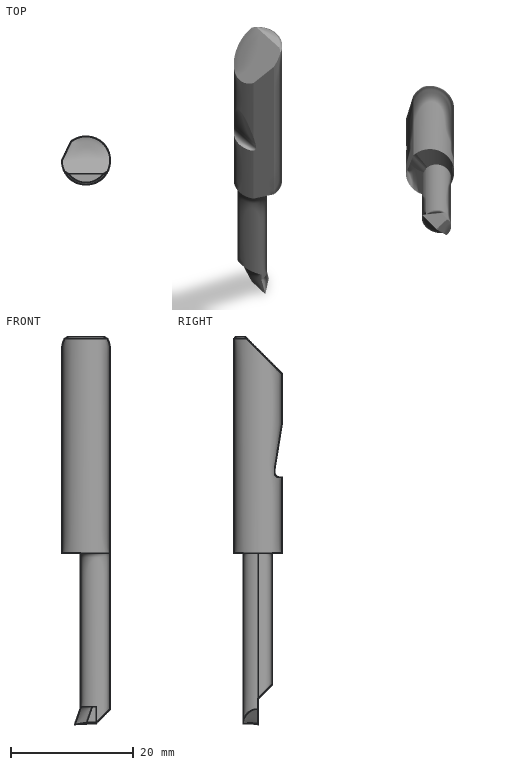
import cadquery as cq
import math

length = 63.5
shank_diameter = 7.95
shank_radius = shank_diameter / 2
shank_bottom = 28.05
neck_diameter = 4.9
neck_radius = neck_diameter / 2
neck_back_radius = 2.35
neck_x = shank_radius - neck_radius
margin = 3.2

bevel_edge_y = -2.15
top_chamfer = 0.4
flat_end_y = 3.1
notch_top = 49.4
notch_bottom = 40.5
notch_depth = 1.2
notch_ramp_bottom = 41.9
notch_corner_radius = 0.65

rake_bevel_top = 6.55
neck_corner_height = 2.55

tooth_height = 2.9
tooth_point_x = -1.85
tooth_heel_x = 0.0
tooth_side_x = 1.65
tooth_lean = 1.0
end_relief = 0.25
edge_relief = 0.16


def extrude_along_x(points):
    """Prism through the whole part from a (Y, Z) outline."""
    half_width = shank_radius + margin
    return cq.Workplane("YZ").polyline(points).close().extrude(half_width, both=True)


def make_shank():
    shank = (
        cq.Workplane("XY")
        .workplane(offset=shank_bottom)
        .circle(shank_radius)
        .extrude(length - shank_bottom)
        .faces(">Z")
        .chamfer(top_chamfer)
    )
    return shank.cut(top_bevel()).cut(side_flat()).cut(clamping_notch())


def top_bevel():
    reach = shank_radius + margin - bevel_edge_y
    return extrude_along_x([
        (bevel_edge_y - margin, length + margin),
        (bevel_edge_y + reach, length + margin),
        (bevel_edge_y + reach, length - reach),
    ])


def side_flat():
    """Prism outside the chord that forms the flat along the shank."""
    flat_end_x = -math.sqrt(shank_radius**2 - flat_end_y**2)
    outline = [
        (-shank_radius, 0),
        (flat_end_x, flat_end_y),
        (flat_end_x, flat_end_y + margin),
        (-shank_radius - margin, flat_end_y + margin),
        (-shank_radius - margin, 0),
    ]
    return (
        cq.Workplane("XY")
        .workplane(offset=shank_bottom)
        .polyline(outline)
        .close()
        .extrude(length - shank_bottom)
    )


def clamping_notch():
    """Ramped notch across the +Y side with a rounded lower corner."""
    floor_y = shank_radius - notch_depth
    return (
        cq.Workplane("YZ")
        .moveTo(shank_radius, notch_top)
        .lineTo(floor_y, notch_ramp_bottom)
        .lineTo(floor_y, notch_bottom + notch_corner_radius)
        .radiusArc((floor_y + notch_corner_radius, notch_bottom), -notch_corner_radius)
        .lineTo(shank_radius + margin, notch_bottom)
        .lineTo(shank_radius + margin, notch_top)
        .close()
        .extrude(shank_radius + margin, both=True)
    )


def make_neck():
    neck = half_neck(neck_radius, -1).union(half_neck(neck_back_radius, 1))
    return neck.cut(rake_face()).cut(tooth_clearance()).cut(neck_corner())


def half_neck(radius, y_side):
    """Half cylinder on the +Y side (y_side = 1) or the -Y side (y_side = -1)."""
    return (
        cq.Workplane("XY")
        .moveTo(neck_x - radius, 0)
        .threePointArc((neck_x, y_side * radius), (neck_x + radius, 0))
        .close()
        .extrude(shank_bottom)
    )


def rake_face():
    """Removes the +Y half at the tip, running out along a 45 degree bevel."""
    reach = neck_back_radius + margin
    return extrude_along_x([
        (0, -margin),
        (reach, -margin),
        (reach, rake_bevel_top + margin),
        (0, rake_bevel_top - neck_back_radius),
    ])


def tooth_clearance():
    """Clears the neck on the tooth side, up to the ledge above the tooth."""
    size = 2 * neck_radius + margin
    return cq.Workplane("XY").box(size, size, tooth_height, centered=False).translate(
        (neck_x - size, -size / 2, 0)
    )


def neck_corner():
    """45 degree cut across the +X side of the tip."""
    return (
        cq.Workplane("XZ")
        .moveTo(shank_radius + margin, neck_corner_height + margin)
        .lineTo(shank_radius + margin, -margin)
        .lineTo(shank_radius - neck_corner_height - margin, -margin)
        .close()
        .extrude(shank_radius, both=True)
    )


def make_tooth():
    def outline(lean):
        return [
            (tooth_point_x + lean, 0),
            (tooth_heel_x + lean, -neck_radius),
            (tooth_side_x, -neck_radius),
            (tooth_side_x, 0),
        ]

    tooth = (
        cq.Workplane("XY")
        .polyline(outline(0))
        .close()
        .workplane(offset=tooth_height)
        .polyline(outline(tooth_lean))
        .close()
        .loft(ruled=True)
    )
    return tooth.cut(end_face_relief())


def end_face_relief():
    """Body below the end face, which rises away from the point in X and -Y."""
    def section(edge_rise):
        return [
            (0, -margin),
            (0, edge_rise),
            (-neck_radius, edge_rise + end_relief),
            (-neck_radius, -margin),
        ]

    return (
        cq.Workplane("YZ")
        .workplane(offset=tooth_point_x)
        .polyline(section(0))
        .close()
        .workplane(offset=tooth_side_x - tooth_point_x)
        .polyline(section(edge_relief))
        .close()
        .loft(ruled=True)
    )


result = make_shank().union(make_neck()).union(make_tooth())